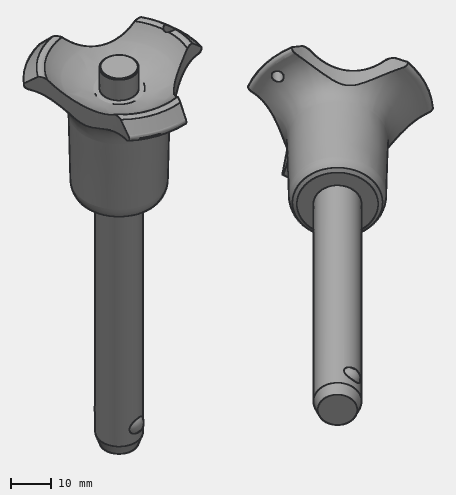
import cadquery as cq
import math


shank_radius = 6.0
shank_length = 80.7
tip_radius = 4.9
tip_height = 3.3

ball_radius = 2.8
ball_protrusion = 1.15
ball_drop = 72.4
ball_offset = shank_radius + ball_protrusion - ball_radius

handle_height = 39.6
base_radius = 10.1
base_cone_radius = 11.2
base_cone_height = 0.6
base_round_middle = (11.8, 1.8)
barrel_lower_radius = 12.15
barrel_lower_height = 3.6
barrel_upper_radius = 12.6
barrel_upper_height = 25.0

flare_radius = 9.5
rim_radius = 23.78
rim_round_radius = 1.15
rim_shoulder_radius = 23.3
rim_shoulder_height = 36.5
crest_inner_radius = 18.5
crest_middle_radius = 19.5
crest_outer_radius = 20.5
crest_drop = 0.25
crest_edge_height = handle_height - crest_drop

dish_floor_radius = 6.4
dish_floor_height = 32.7
dish_middle = (14.0, 35.75)

cut_wall_distance = 13.9
side_scallop_radius = 24.3
side_scallop_angle = 31.8
front_scallop_radius = 52.0

lanyard_hole_diameter = 3.0
lanyard_hole_offset = 19.75

button_radius = 4.9
button_chamfer = 0.3


def make_shank():
    """Round shank with a tapered tip, reaching up to the dish floor."""
    profile = (
        cq.Workplane("XZ")
        .moveTo(0, -shank_length)
        .lineTo(tip_radius, -shank_length)
        .lineTo(shank_radius, tip_height - shank_length)
        .lineTo(shank_radius, dish_floor_height)
        .lineTo(0, dish_floor_height)
        .close()
    )
    return profile.revolve(360, (0, 0, 0), (0, 1, 0))


def make_ball(side):
    """Locking ball on the +X (side = 1) or -X (side = -1) flank."""
    return cq.Workplane("XY").sphere(ball_radius).translate((side * ball_offset, 0, -ball_drop))


def make_handle_blank():
    """Revolved handle: tapered barrel, flared rim and dished top."""
    flare_end_radius = barrel_upper_radius + flare_radius
    flare_end_height = barrel_upper_height + flare_radius
    diagonal = flare_radius * math.sqrt(0.5)
    flare_middle = (flare_end_radius - diagonal, barrel_upper_height + diagonal)
    profile = (
        cq.Workplane("XZ")
        .moveTo(0, 0)
        .lineTo(base_radius, 0)
        .lineTo(base_cone_radius, base_cone_height)
        .threePointArc(base_round_middle, (barrel_lower_radius, barrel_lower_height))
        .lineTo(barrel_upper_radius, barrel_upper_height)
        .threePointArc(flare_middle, (flare_end_radius, flare_end_height))
        .lineTo(rim_radius - rim_round_radius, flare_end_height)
        .tangentArcPoint((rim_radius, flare_end_height + rim_round_radius), relative=False)
        .tangentArcPoint((rim_shoulder_radius, rim_shoulder_height), relative=False)
        .lineTo(crest_outer_radius, crest_edge_height)
        .threePointArc((crest_middle_radius, handle_height), (crest_inner_radius, crest_edge_height))
        .threePointArc(dish_middle, (dish_floor_radius, dish_floor_height))
        .lineTo(0, dish_floor_height)
        .close()
    )
    return profile.revolve(360, (0, 0, 0), (0, 1, 0))


def make_scallop(radius, angle):
    """Vertical cylinder that cuts the rim from the direction of angle (degrees from +X)."""
    distance = cut_wall_distance + radius
    x = distance * math.cos(math.radians(angle))
    y = distance * math.sin(math.radians(angle))
    return cq.Workplane("XY").center(x, y).circle(radius).extrude(handle_height)


def make_lanyard_hole():
    """Vertical through hole in the rear lobe."""
    hole = cq.Workplane("XY").center(0, lanyard_hole_offset).circle(lanyard_hole_diameter / 2)
    return hole.extrude(handle_height)


def make_button():
    """Release button, level with the rim crest."""
    button_height = handle_height - dish_floor_height
    button = cq.Workplane("XY", origin=(0, 0, dish_floor_height)).circle(button_radius)
    return button.extrude(button_height).faces(">Z").chamfer(button_chamfer)


handle = make_handle_blank()
handle = handle.cut(make_scallop(side_scallop_radius, side_scallop_angle))
handle = handle.cut(make_scallop(side_scallop_radius, 180 - side_scallop_angle))
handle = handle.cut(make_scallop(front_scallop_radius, -90))
handle = handle.cut(make_lanyard_hole())

result = handle.union(make_shank()).union(make_button())
for ball_side in (-1, 1):
    result = result.union(make_ball(ball_side))